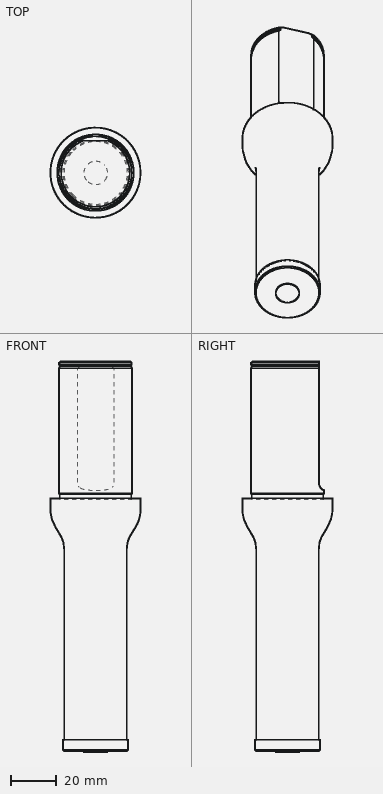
import cadquery as cq

TOTAL_LENGTH = 171.0
PAD_HEIGHT = 0.5
CAP_TOP = 5.5
BELL_BOTTOM = 89.0
BELL_TOP = 106.0
FLANGE_TOP = 111.0
NECK_TOP = 112.7

PAD_DIAMETER = 10.3
CAP_DIAMETER = 28.5
BAR_DIAMETER = 27.5
FLANGE_DIAMETER = 39.5
NECK_DIAMETER = 31.5
SHANK_DIAMETER = 32.0

CAP_CHAMFER = 0.5
NECK_TAPER_HEIGHT = 0.5
END_CHAMFER_WIDTH = 1.0
END_CHAMFER_HEIGHT = 0.9
GROOVE_TOP = TOTAL_LENGTH - 1.5
GROOVE_FLOOR_END = TOTAL_LENGTH - 2.2
GROOVE_BOTTOM = TOTAL_LENGTH - 3.2
GROOVE_DIAMETER = 31.1
FLAT_OFFSET = 13.9
FLAT_RUNOUT_RADIUS = 3.0
FLAT_BOTTOM = 114.4

RELIEF_DIAMETER = 33.5
RELIEF_DEPTH = 0.3

BELL_CONVEX_SHARE = 0.55


def make_holder():
    """Turned bar with bell flange and shank, then the flat cut on the +Y side."""
    bar_radius = BAR_DIAMETER / 2
    flange_radius = FLANGE_DIAMETER / 2
    bell_middle = (
        flange_radius - BELL_CONVEX_SHARE * (flange_radius - bar_radius),
        BELL_TOP - BELL_CONVEX_SHARE * (BELL_TOP - BELL_BOTTOM),
    )
    neck_radius = NECK_DIAMETER / 2
    shank_radius = SHANK_DIAMETER / 2
    groove_radius = GROOVE_DIAMETER / 2
    profile = (
        cq.Workplane("XZ")
        .moveTo(0, CAP_TOP)
        .lineTo(bar_radius, CAP_TOP)
        .lineTo(bar_radius, BELL_BOTTOM)
        .spline(
            [bell_middle, (flange_radius, BELL_TOP)],
            tangents=[(0, 1), (0, 1)],
            includeCurrent=True,
        )
        .lineTo(flange_radius, FLANGE_TOP)
        .lineTo(RELIEF_DIAMETER / 2, FLANGE_TOP)
        .lineTo(neck_radius, FLANGE_TOP - RELIEF_DEPTH)
        .lineTo(neck_radius, NECK_TOP)
        .lineTo(shank_radius, NECK_TOP + NECK_TAPER_HEIGHT)
        .lineTo(shank_radius, GROOVE_BOTTOM)
        .lineTo(groove_radius, GROOVE_FLOOR_END)
        .lineTo(groove_radius, GROOVE_TOP)
        .lineTo(shank_radius, GROOVE_TOP)
        .lineTo(shank_radius, TOTAL_LENGTH - END_CHAMFER_HEIGHT)
        .lineTo(shank_radius - END_CHAMFER_WIDTH, TOTAL_LENGTH)
        .lineTo(0, TOTAL_LENGTH)
        .close()
    )
    return profile.revolve(360, (0, 0, 0), (0, 1, 0)).cut(make_flat_cutter())


def make_flat_cutter():
    """Block beyond the shank flat, its lower inner edge rounded for the runout."""
    return (
        cq.Workplane("XY")
        .workplane(offset=FLAT_BOTTOM)
        .center(0, FLAT_OFFSET + SHANK_DIAMETER / 2)
        .rect(2 * SHANK_DIAMETER, SHANK_DIAMETER)
        .extrude(TOTAL_LENGTH - FLAT_BOTTOM)
        .edges("<Y and <Z")
        .fillet(FLAT_RUNOUT_RADIUS)
    )


def make_front_cap():
    """Disc closing the front end, with a small raised pad on its face."""
    disc = (
        cq.Workplane("XY")
        .workplane(offset=PAD_HEIGHT)
        .circle(CAP_DIAMETER / 2)
        .extrude(CAP_TOP - PAD_HEIGHT)
        .faces("<Z")
        .chamfer(CAP_CHAMFER)
    )
    pad = cq.Workplane("XY").circle(PAD_DIAMETER / 2).extrude(PAD_HEIGHT)
    return disc.union(pad)


holder = make_holder()
front_cap = make_front_cap()
result = cq.Compound.makeCompound([holder.val(), front_cap.val()])